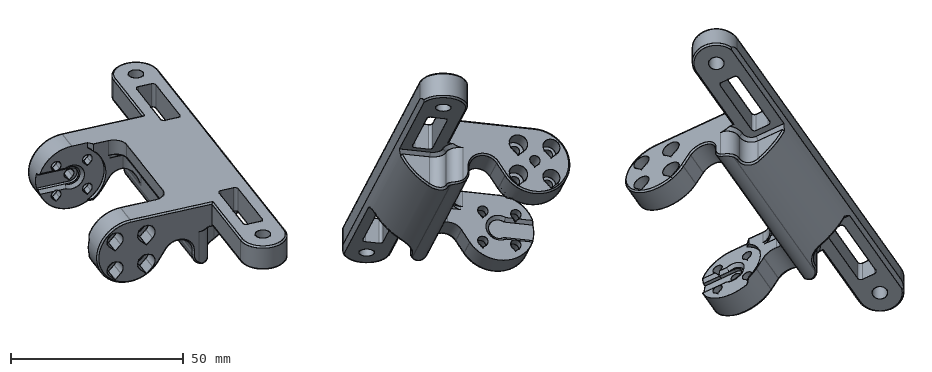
import cadquery as cq
import math

LENGTH = 109.0
DEPTH = 49.9
HEIGHT = 21.0
EDGE = 0.5
STEP = 1.0
BLEND = 8.0 / 2
CUT = 65.4

BAR_WIDTH = 14.0
BAR_THICK = 8.0
BAR_HOLE = 4.5
SLOT_LENGTH = 20.0
SLOT_WIDTH = 6.0
SLOT_CENTER = 30.8
SLOT_CORNER = 1.0

BACK_Y = BAR_WIDTH / 2
DISC_R = HEIGHT / 2
DISC_Y = BACK_Y - DEPTH + DISC_R
DISC_Z = -DISC_R
NOTCH_R = 4.5
NOTCH_Z = DISC_Z - NOTCH_R
LIP_FRONT = -13.0
NOTCH_Y = LIP_FRONT - NOTCH_R
LIP_BOTTOM = -20.5
LIP_Y = LIP_FRONT + BLEND
LIP_Z = LIP_BOTTOM + BLEND
BACK_HEIGHT = 6.0
BACK_ARC_R = 22.3

BODY_HALF = 52.0 / 2
GAP_LEFT = -16.9
GAP_RIGHT = 18.2
GAP_BACK = -17.4
WALL_RECESS_Z = -5.0

LEFT_FACE = -18.2
RECESS_R = 10.1
RECESS_BACK = -27.5
HUB_D = 8.0
ARM_WIDTH = 5.0
SCREW_OFFSET = 4.9
SCREW_D = 3.0
HEAD_REAR_D = 5.5
HEAD_FRONT_D = 5.0
HEAD_DEPTH = 5.0


def toward(center, target, radius):
    """Point at a radius from center in the direction of target."""
    angle = math.atan2(target[1] - center[1], target[0] - center[0])
    return (center[0] + radius * math.cos(angle), center[1] + radius * math.sin(angle))


def crossing_tangent(disc, notch):
    """Ends of the line that leaves the disc from below and joins the notch from above."""
    lean = math.acos((DISC_R + NOTCH_R) / math.dist(disc, notch))
    angle = math.atan2(notch[1] - disc[1], notch[0] - disc[0]) - lean
    ay = math.cos(angle)
    az = math.sin(angle)
    disc_end = (disc[0] + DISC_R * ay, disc[1] + DISC_R * az)
    notch_start = (notch[0] - NOTCH_R * ay, notch[1] - NOTCH_R * az)
    return disc_end, notch_start


def back_arc_center(lip, corner):
    """Center of the arc that touches the lip circle inside and meets the back corner."""
    gap = math.dist(lip, corner)
    to_lip = BACK_ARC_R - BLEND
    along = (to_lip ** 2 - BACK_ARC_R ** 2 + gap ** 2) / (2 * gap)
    side = math.sqrt(to_lip ** 2 - along ** 2)
    uy = (corner[0] - lip[0]) / gap
    uz = (corner[1] - lip[1]) / gap
    return (lip[0] + along * uy - side * uz, lip[1] + along * uz + side * uy)


def profile_prism(half_width):
    """Side profile in the YZ plane, extruded along X."""
    disc = (DISC_Y, DISC_Z)
    notch = (NOTCH_Y, NOTCH_Z)
    lip = (LIP_Y, LIP_Z)
    corner = (BACK_Y, -BACK_HEIGHT)
    arc_center = back_arc_center(lip, corner)
    lip_end = toward(arc_center, lip, BACK_ARC_R)
    lip_mid = toward(lip, (LIP_FRONT, LIP_BOTTOM), BLEND)
    chord_mid = ((corner[0] + lip_end[0]) / 2, (corner[1] + lip_end[1]) / 2)
    disc_end, notch_start = crossing_tangent(disc, notch)
    return (
        cq.Workplane("YZ", origin=(-half_width, 0, 0))
        .moveTo(BACK_Y, 0)
        .lineTo(DISC_Y, 0)
        .threePointArc((DISC_Y - DISC_R, DISC_Z), disc_end)
        .lineTo(*notch_start)
        .threePointArc((NOTCH_Y, NOTCH_Z + NOTCH_R), (LIP_FRONT, NOTCH_Z))
        .lineTo(LIP_FRONT, LIP_Z)
        .threePointArc(lip_mid, lip_end)
        .threePointArc(toward(arc_center, chord_mid, BACK_ARC_R), corner)
        .close()
        .extrude(2 * half_width)
    )


def crossbar():
    bar = (
        cq.Workplane("XY")
        .slot2D(LENGTH, BAR_WIDTH)
        .extrude(-BAR_THICK)
        .faces("|Z").edges().chamfer(EDGE)
    )
    return bar.intersect(profile_prism(LENGTH / 2))


def side_pocket():
    """Hollow under the bar's right arm, ending in an S-shaped blend to the leg."""
    root_x = BODY_HALF - 2 * BLEND
    leg_y = -BAR_WIDTH / 2 - BLEND
    mid_x = BODY_HALF - BLEND
    mid_y = leg_y + BLEND
    root_y = mid_y + BLEND
    bulge = BLEND * math.sqrt(0.5)
    pocket = (
        cq.Workplane("XY", origin=(0, 0, -BAR_THICK))
        .moveTo(root_x, BACK_Y + STEP)
        .lineTo(root_x, root_y)
        .threePointArc((mid_x - bulge, root_y - bulge), (mid_x, mid_y))
        .threePointArc((mid_x + bulge, leg_y + bulge), (BODY_HALF, leg_y))
        .lineTo(BODY_HALF + STEP, leg_y)
        .lineTo(BODY_HALF + STEP, BACK_Y + STEP)
        .close()
        .extrude(-HEIGHT)
    )
    wall = cq.selectors.BoxSelector(
        (root_x - EDGE, leg_y - EDGE, -BAR_THICK - EDGE),
        (BODY_HALF - EDGE, root_y + BLEND, -BAR_THICK + EDGE),
    )
    return pocket.edges(wall).chamfer(STEP)


def gap_prism(back, top):
    """Space between the legs, open to the front, with blended rear corners."""
    width = GAP_RIGHT - GAP_LEFT
    return (
        cq.Workplane("XY", origin=(GAP_LEFT + width / 2, back - CUT / 2, top))
        .rect(width, CUT)
        .extrude(-CUT)
        .edges("|Z and >Y").fillet(BLEND)
    )


def stepped_gap(back, top, slope):
    """Lower part of the gap, with a sloped roof edge along the rear."""
    return gap_prism(back, top).faces(">Z").edges(">Y").chamfer(slope)


def body():
    pocket = side_pocket()
    block = profile_prism(BODY_HALF).cut(pocket).cut(pocket.mirror("YZ"))
    block = block.faces(">Z").edges("<X or >X or >Y").chamfer(EDGE)
    block = block.cut(gap_prism(GAP_BACK, 0))
    block = block.cut(stepped_gap(GAP_BACK + EDGE, WALL_RECESS_Z + EDGE, EDGE))
    return block.cut(stepped_gap(LIP_FRONT, WALL_RECESS_Z, STEP))


def x_cylinder(radius, start, length):
    return (
        cq.Workplane("YZ", origin=(start, DISC_Y, DISC_Z))
        .circle(radius)
        .extrude(length)
    )


def left_recess():
    """Round clearance in the left leg, with a sloped shoulder and a thinned front end."""
    depth = GAP_LEFT - LEFT_FACE
    front = (
        cq.Workplane("XY")
        .moveTo(LEFT_FACE, RECESS_BACK - CUT)
        .lineTo(LEFT_FACE, RECESS_BACK)
        .lineTo(GAP_LEFT, RECESS_BACK + depth)
        .lineTo(GAP_LEFT, RECESS_BACK - CUT)
        .close()
        .extrude(-HEIGHT)
    )
    return front.union(x_cylinder(RECESS_R, LEFT_FACE, depth))


def horn_seat(face, outward):
    """Conical hub pocket and flared arm slot; outward is the X direction into the leg."""
    floor = ARM_WIDTH / 2
    rim = floor + STEP
    flare = (
        cq.Workplane("XZ", origin=(face, DISC_Y, DISC_Z))
        .polyline([(0, -rim), (outward * STEP, -floor), (outward * STEP, floor), (0, rim)])
        .close()
        .extrude(CUT)
    )
    hub = cq.Workplane(cq.Solid.makeCone(
        HUB_D / 2, HUB_D / 2 - STEP, STEP,
        cq.Vector(face, DISC_Y, DISC_Z), cq.Vector(outward, 0, 0),
    ))
    return flare.union(hub)


def deep_arm_slot():
    """Round-ended slot in the floor of the left horn seat."""
    floor = LEFT_FACE - STEP
    center = (floor - STEP / 2, DISC_Y - CUT / 2, DISC_Z)
    slot = cq.Workplane("XY", origin=center).box(STEP, CUT, ARM_WIDTH)
    return slot.union(x_cylinder(ARM_WIDTH / 2, floor, -STEP))


def teardrop(diameter, y, z, start, length):
    """Hole along X with a downward point."""
    radius = diameter / 2
    side = radius * math.sqrt(0.5)
    return (
        cq.Workplane("YZ", origin=(start, y, z))
        .moveTo(-side, -side)
        .threePointArc((0, radius), (side, -side))
        .lineTo(0, -2 * side)
        .close()
        .extrude(length)
    )


def cut_leg_holes(part):
    for y_sign, head_d in ((1, HEAD_REAR_D), (-1, HEAD_FRONT_D)):
        for z_sign in (1, -1):
            y = DISC_Y + y_sign * SCREW_OFFSET
            z = DISC_Z + z_sign * SCREW_OFFSET
            part = part.cut(teardrop(SCREW_D, y, z, -BODY_HALF, 2 * BODY_HALF))
            part = part.cut(teardrop(head_d, y, z, -BODY_HALF, HEAD_DEPTH))
            part = part.cut(teardrop(head_d, y, z, BODY_HALF, -HEAD_DEPTH))
    return part.cut(teardrop(SCREW_D, DISC_Y, DISC_Z, -BODY_HALF, BODY_HALF))


def cut_bar_openings(part):
    end_x = (LENGTH - BAR_WIDTH) / 2
    holes = (
        cq.Workplane("XY")
        .pushPoints([(-end_x, 0), (end_x, 0)])
        .circle(BAR_HOLE / 2)
        .extrude(-HEIGHT)
    )
    slots = (
        cq.Workplane("XY")
        .pushPoints([(-SLOT_CENTER, 0), (SLOT_CENTER, 0)])
        .rect(SLOT_LENGTH, SLOT_WIDTH)
        .extrude(-HEIGHT)
        .edges("|Z").fillet(SLOT_CORNER)
    )
    return part.cut(holes).cut(slots)


result = body().union(crossbar())
result = result.cut(left_recess())
result = result.cut(horn_seat(LEFT_FACE, -1)).cut(deep_arm_slot())
result = result.cut(horn_seat(GAP_RIGHT, 1))
result = cut_leg_holes(result)
result = cut_bar_openings(result)